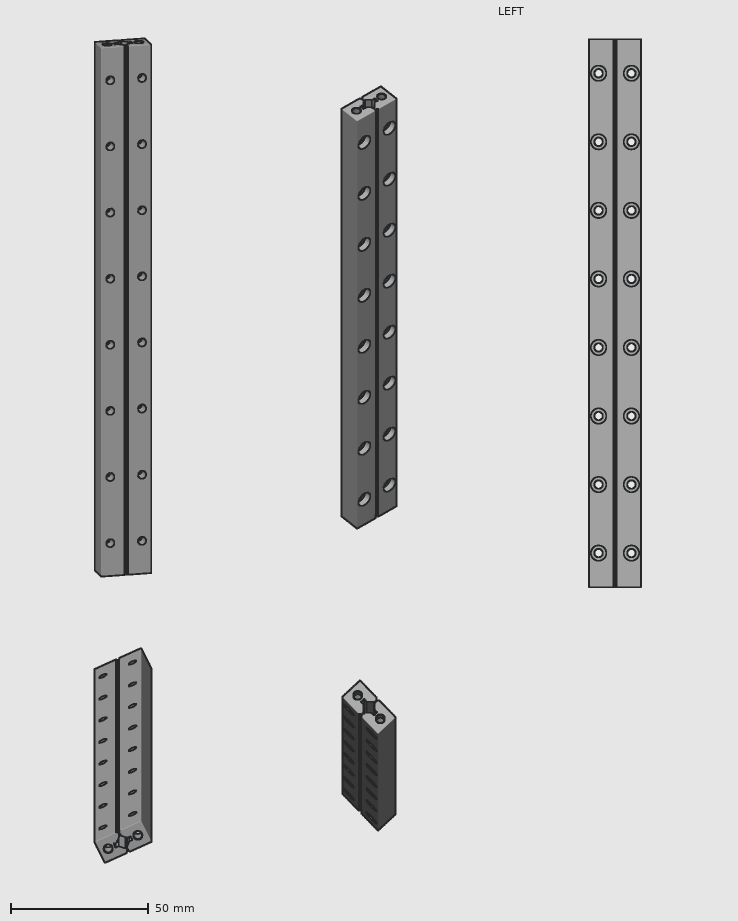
import cadquery as cq

pair_depth = 19.0
rail_thickness = 9.0
rail_length = 200.0
gap = 0.5
edge_fillet = 0.2
facing_chamfer = 0.5

rail_depth = (pair_depth - gap) / 2
facing_side = gap / 2

groove_width = 5.2
relief_width = 1.5
relief_bottom = 3.5

hole_count = 8
hole_pitch = rail_length / hole_count
hole_offset = 6.0
bore_diameter = 3.0
counterbore_diameter = 5.5
counterbore_depth = 2.8

end_hole_diameter = 3.0
end_hole_mouth_chamfer = 0.2
end_hole_depth = 6.0
drill_tip_height = 1.5


def rail_blank():
    """Bar with broken edges, standing behind the Y = 0 plane."""
    bar = cq.Workplane("XY").box(rail_thickness, rail_depth, rail_length)
    bar = bar.faces("<Y").edges("|Z").chamfer(facing_chamfer)
    bar = bar.faces(">Y").edges("|Z").fillet(edge_fillet)
    bar = bar.faces("|Z").edges().fillet(edge_fillet)
    return bar.translate((0, facing_side + rail_depth / 2, 0))


def roller_groove():
    """V-groove and its relief slot, along the full rail length."""
    half_groove = groove_width / 2
    half_relief = relief_width / 2
    relief_start = facing_side + half_groove - half_relief
    outline = [
        (-half_groove, facing_side),
        (-half_relief, relief_start),
        (-half_relief, relief_bottom),
        (half_relief, relief_bottom),
        (half_relief, relief_start),
        (half_groove, facing_side),
    ]
    return cq.Workplane("XY").polyline(outline).close().extrude(rail_length / 2, both=True)


def mounting_hole(z):
    """Bore through the rail along X, with its counterbore on the -X side."""
    mouth = cq.Workplane("YZ", origin=(-rail_thickness / 2, hole_offset, z))
    bore = mouth.circle(bore_diameter / 2).extrude(rail_thickness)
    counterbore = mouth.circle(counterbore_diameter / 2).extrude(counterbore_depth)
    return bore.union(counterbore)


def end_hole():
    """Blind hole in the top end, with a chamfered mouth and a conical drill tip."""
    radius = end_hole_diameter / 2
    profile = [
        (0, 0),
        (radius + end_hole_mouth_chamfer, 0),
        (radius, -end_hole_mouth_chamfer),
        (radius, -end_hole_depth),
        (0, -end_hole_depth - drill_tip_height),
    ]
    end_plane = cq.Workplane("XZ", origin=(0, hole_offset, rail_length / 2))
    return end_plane.polyline(profile).close().revolve(360, (0, 0, 0), (0, 1, 0))


def rail():
    """One rail, with its groove facing -Y."""
    body = rail_blank().cut(roller_groove())
    for index in range(hole_count):
        z = (index - (hole_count - 1) / 2) * hole_pitch
        body = body.cut(mounting_hole(z))
    top_hole = end_hole()
    bottom_hole = top_hole.mirror("XY")
    return body.cut(top_hole).cut(bottom_hole)


back_rail = rail()
front_rail = back_rail.mirror("XZ")

result = cq.Compound.makeCompound([front_rail.val(), back_rail.val()])